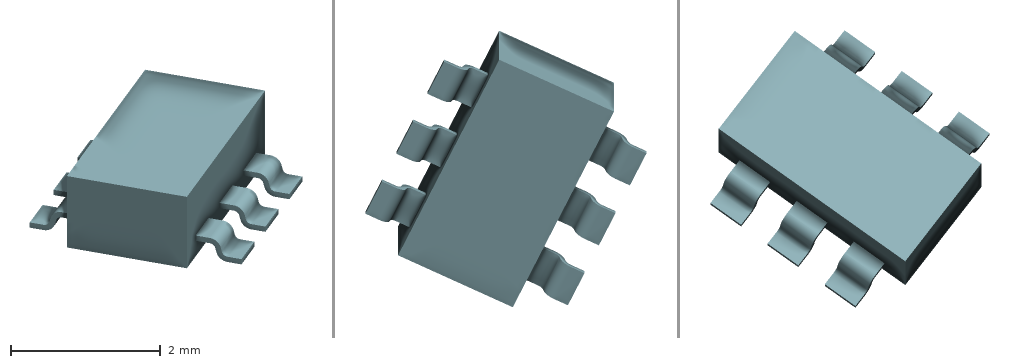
import cadquery as cq
import math

housing_width = 1.7
housing_length = 3.1
housing_height = 1.09

span = 3.0
lead_width = 0.51
lead_pitch = 0.95
leads_per_side = 3
lead_thickness = 0.08
lead_top = 0.32
foot_length = 0.2
inner_radius = 0.08
outer_radius = inner_radius + lead_thickness
bend_angle = 75.0

bend_rise = lead_top - 2 * outer_radius
bend_slope = math.radians(bend_angle)
bend_run = (outer_radius + inner_radius + bend_rise * math.cos(bend_slope)) / math.sin(bend_slope)

marker_diameter = 0.085
marker_depth = 0.05
marker_x = -0.505
marker_y = lead_pitch

lead_rows = [(i - (leads_per_side - 1) / 2) * lead_pitch for i in range(leads_per_side)]


def arc_point(center, radius, degrees):
    """Point on a circle in the XZ plane, measured from +X toward +Z."""
    angle = math.radians(degrees)
    return (center[0] + radius * math.cos(angle), center[1] + radius * math.sin(angle))


def make_right_lead(row_y):
    """Lead on the +X side: shoulder, downward bend, sloped leg, upward bend and foot."""
    housing_side = housing_width / 2
    tip = span / 2
    lower_center = (tip - foot_length, outer_radius)
    upper_center = (lower_center[0] - bend_run, lead_top - outer_radius)

    upper_end = 90 - bend_angle
    upper_middle = 90 - bend_angle / 2
    lower_start = 270 - bend_angle
    lower_middle = 270 - bend_angle / 2

    profile = (
        cq.Workplane("XZ", origin=(0, row_y + lead_width / 2, 0))
        .moveTo(housing_side, lead_top)
        .lineTo(upper_center[0], lead_top)
        .threePointArc(
            arc_point(upper_center, outer_radius, upper_middle),
            arc_point(upper_center, outer_radius, upper_end),
        )
        .lineTo(*arc_point(lower_center, inner_radius, lower_start))
        .threePointArc(
            arc_point(lower_center, inner_radius, lower_middle),
            (lower_center[0], lead_thickness),
        )
        .lineTo(tip, lead_thickness)
        .lineTo(tip, 0)
        .lineTo(lower_center[0], 0)
        .threePointArc(
            arc_point(lower_center, outer_radius, lower_middle),
            arc_point(lower_center, outer_radius, lower_start),
        )
        .lineTo(*arc_point(upper_center, inner_radius, upper_end))
        .threePointArc(
            arc_point(upper_center, inner_radius, upper_middle),
            (upper_center[0], lead_top - lead_thickness),
        )
        .lineTo(housing_side, lead_top - lead_thickness)
        .close()
    )
    return profile.extrude(lead_width)


def make_marker():
    return (
        cq.Workplane("XY", origin=(marker_x, marker_y, housing_height - marker_depth))
        .circle(marker_diameter / 2)
        .extrude(marker_depth)
    )


def make_housing():
    """Block with a recess that the marker fills."""
    block = cq.Workplane("XY").box(
        housing_width, housing_length, housing_height, centered=(True, True, False)
    )
    return block.cut(make_marker())


housing = make_housing()
marker = make_marker()

leads = []
for row_y in lead_rows:
    right_lead = make_right_lead(row_y)
    left_lead = right_lead.mirror("YZ")
    leads.append(right_lead.val())
    leads.append(left_lead.val())

result = cq.Compound.makeCompound([housing.val(), marker.val(), *leads])